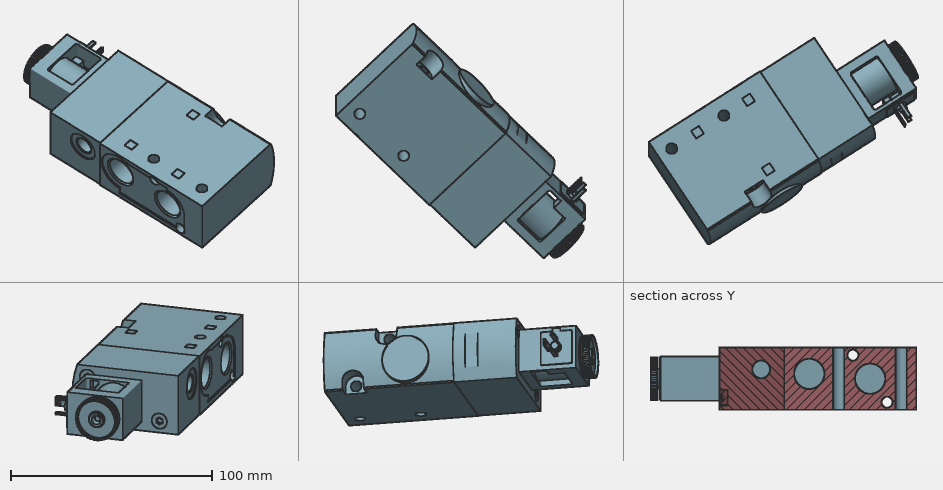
import cadquery as cq
import math


total_length = 132.2
thickness = 31.0
half_thickness = thickness / 2
pilot_start = 34.2
body_start = 66.2
coil_start = 5.2
knob_y = 31.8

body_crown_y = 56.4
body_edge_y = 54.0
bevel_depth = 0.8
bevel_height = 0.7
port_diameter = 14.9
port_mouth_diameter = 16.5
port_chamfer = (port_mouth_diameter - port_diameter) / 2
port_depth = 15.9
left_port_x = 78.9
left_port_z = 2.4
right_port_x = 109.2
right_port_z = 0.0
gasket_radius = 11.5
gasket_half_height = 12.88
gasket_depth = 0.8
mount_hole_diameter = 5.4
cross_bolt_holes = [(100.6, 11.7), (117.55, -11.7)]
bolt_recess_width = 10.8
bolt_recess_floor_y = 47.3
vertical_holes = [(93.5, 9.1), (124.5, 9.1)]
label_size = 4.6
label_depth = 0.1
label_places = [(left_port_x, 9.1), (right_port_x, 9.1), (90.0, 44.1)]
disc_diameter = 23.8
disc_x = 90.3
disc_z = -2.4
disc_top_y = 57.2
disc_root_y = 50.2

pilot_front_y = 0.4
pilot_crown_y = 56.2
pilot_edge_y = 53.5
pilot_flat_y = 55.4
pilot_flat_start = 53.7
pilot_flat_width = 6.5
pilot_port_x = 55.0
pilot_port_z = 4.6
pilot_spotface_diameter = 15.6
pilot_spotface_depth = 0.8
pilot_port_diameter = 8.7
pilot_port_mouth_diameter = 9.6
pilot_port_chamfer = (pilot_port_mouth_diameter - pilot_port_diameter) / 2
pilot_port_depth = 10.6

screw_places = [(10.3, -9.4), (48.1, 9.4)]
screw_head_diameter = 7.9
screw_bore_diameter = 8.0
screw_head_height = 4.0
torx_core_diameter = 3.0
torx_lobe_diameter = 0.9
torx_lobe_radius = 1.5
torx_lobes = 6
torx_depth = 1.6

coil_front_y = 19.5
coil_back_y = 48.8
coil_height = 22.1
coil_edge_radius = 0.4
window_start = 12.4
window_end = 28.7
window_front_y = 24.3
window_back_y = 46.9
window_corner_radius = 0.9
winding_diameter = 20.2
face_ring_diameter = 21.1
face_ring_thickness = 0.8
wall_pocket_depth = 4.1
wall_pocket_front_y = 40.3
wall_pocket_back_y = 44.7
wall_pocket_bottom = 5.2
wall_pocket_top = 10.0
winding_flange_diameter = 24.3
lower_ledge_end = 20.5
lower_ledge_y = 41.9
lower_ledge_top = -2.6
upper_ledge_end = 17.3
upper_ledge_y = 42.2
upper_ledge_top = 1.3
upper_ledge_bevel = 1.2

gasket_plate_start = 7.0
gasket_plate_length = 16.0
gasket_plate_height = 17.3
gasket_plate_thickness = 0.8
gasket_plate_corner = 0.8
gasket_tab_width = 4.0
gasket_tab_height = 1.6
socket_x = 15.0
socket_base_diameter = 5.3
socket_base_height = 1.7
socket_top_diameter = 4.0
socket_top_height = 3.3
blade_thickness = 0.9
contact_blade_width = 1.9
contact_blade_z = 4.2
contact_blade_end_y = 58.1
contact_blade_tip = 0.4
earth_blade_x = 18.83
earth_blade_width = 3.2
earth_blade_end_y = 59.9
earth_blade_tip = 0.7
earth_hole_diameter = 1.7
earth_hole_y = 57.7

knob_diameter = 21.5
knob_thickness = 3.5
knob_rear_chamfer = 0.3
knurl_grooves = 36
knurl_groove_diameter = 0.9
dish_diameter = 19.5
dish_depth = 1.5
knob_boss_diameter = 8.0
knob_boss_chamfer = 0.4
knob_hole_mouth_diameter = 4.8
knob_hole_floor_diameter = 3.0
knob_hole_depth = 2.6
knob_hub_diameter = 10.0


def box(x, y, z):
    """Box between the (low, high) limits on each axis."""
    size = [high - low for low, high in (x, y, z)]
    return cq.Workplane("XY").box(*size, centered=False).translate((x[0], y[0], z[0]))


def cylinder_x(diameter, x, y, z=0.0):
    """Cylinder along X between the (low, high) limits x."""
    return cq.Workplane("YZ", origin=(x[0], y, z)).circle(diameter / 2).extrude(x[1] - x[0])


def cylinder_y(diameter, x, y, z):
    """Cylinder along Y between the (low, high) limits y."""
    return cq.Workplane("XZ", origin=(x, y[0], z)).circle(diameter / 2).extrude(y[0] - y[1])


def cylinder_z(diameter, x, y, z):
    """Cylinder along Z between the (low, high) limits z."""
    return cq.Workplane("XY", origin=(x, y, z[0])).circle(diameter / 2).extrude(z[1] - z[0])


def chamfered_port(x, y, z, diameter, mouth_chamfer, depth):
    """Blind port going along +Y from a face at y, with a 45 degree mouth."""
    radius = diameter / 2
    profile = [
        (0, 0),
        (radius + mouth_chamfer, 0),
        (radius, mouth_chamfer),
        (radius, depth),
        (0, depth),
    ]
    cutter = cq.Workplane("XY").polyline(profile).close().revolve(360, (0, 0, 0), (0, 1, 0))
    return cutter.translate((x, y, z))



def body_blank():
    bevel_start_z = half_thickness - bevel_height
    profile = (
        cq.Workplane("YZ", origin=(body_start, 0, 0))
        .moveTo(0, -half_thickness)
        .lineTo(body_edge_y - bevel_depth, -half_thickness)
        .lineTo(body_edge_y, -bevel_start_z)
        .threePointArc((body_crown_y, 0), (body_edge_y, bevel_start_z))
        .lineTo(body_edge_y - bevel_depth, half_thickness)
        .lineTo(0, half_thickness)
        .close()
    )
    return profile.extrude(total_length - body_start)


def gasket_recess():
    """Recess around both large ports: a disc, a quarter disc and straight walls."""
    right_end = right_port_x + gasket_radius
    surround = cylinder_y(gasket_radius * 2, left_port_x, (0, gasket_depth), left_port_z)
    surround = surround.union(
        cylinder_y(gasket_radius * 2, right_port_x, (0, gasket_depth), right_port_z)
    )
    surround = surround.union(
        box((left_port_x, right_port_x), (0, gasket_depth), (-gasket_half_height, gasket_half_height))
    )
    return surround.union(
        box((right_port_x, right_end), (0, gasket_depth), (-gasket_half_height, right_port_z))
    )


def bolt_recess(x, z):
    """U-shaped recess at the back, round about the bolt and open to the nearer side."""
    y_limits = (bolt_recess_floor_y, body_crown_y)
    half_width = bolt_recess_width / 2
    open_side = math.copysign(half_thickness, z)
    slot = box((x - half_width, x + half_width), y_limits, sorted((z, open_side)))
    return slot.union(cylinder_y(bolt_recess_width, x, y_limits, z))


def label_pocket(x, y):
    half_size = label_size / 2
    return box(
        (x - half_size, x + half_size),
        (y - half_size, y + half_size),
        (half_thickness - label_depth, half_thickness),
    )


def make_valve_body():
    body = body_blank()
    body = body.union(cylinder_y(disc_diameter, disc_x, (disc_root_y, disc_top_y), disc_z))
    body = body.cut(gasket_recess())
    for x, z in [(left_port_x, left_port_z), (right_port_x, right_port_z)]:
        body = body.cut(chamfered_port(x, gasket_depth, z, port_diameter, port_chamfer, port_depth))
    for x, z in cross_bolt_holes:
        body = body.cut(bolt_recess(x, z))
        body = body.cut(cylinder_y(mount_hole_diameter, x, (0, body_crown_y), z))
    for x, y in vertical_holes:
        body = body.cut(cylinder_z(mount_hole_diameter, x, y, (-half_thickness, half_thickness)))
    for x, y in label_places:
        body = body.cut(label_pocket(x, y))
    return body



def make_pilot_block():
    block = (
        cq.Workplane("YZ", origin=(pilot_start, 0, 0))
        .moveTo(pilot_front_y, -half_thickness)
        .lineTo(pilot_edge_y, -half_thickness)
        .threePointArc((pilot_crown_y, 0), (pilot_edge_y, half_thickness))
        .lineTo(pilot_front_y, half_thickness)
        .close()
        .extrude(body_start - pilot_start)
    )
    block = block.cut(
        box(
            (pilot_flat_start, pilot_flat_start + pilot_flat_width),
            (pilot_flat_y, pilot_crown_y),
            (-half_thickness, half_thickness),
        )
    )
    spotface_y = pilot_front_y + pilot_spotface_depth
    block = block.cut(
        cylinder_y(pilot_spotface_diameter, pilot_port_x, (pilot_front_y, spotface_y), pilot_port_z)
    )
    block = block.cut(
        chamfered_port(
            pilot_port_x, spotface_y, pilot_port_z, pilot_port_diameter, pilot_port_chamfer, pilot_port_depth
        )
    )
    for y, z in screw_places:
        block = block.cut(
            cylinder_x(screw_bore_diameter, (pilot_start, pilot_start + screw_head_height), y, z)
        )
    return block



def make_screw(y, z):
    socket_limits = (pilot_start, pilot_start + torx_depth)
    screw = cylinder_x(screw_head_diameter, (pilot_start, pilot_start + screw_head_height), y, z)
    screw = screw.cut(cylinder_x(torx_core_diameter, socket_limits, y, z))
    for lobe in range(torx_lobes):
        angle = math.pi / 2 + lobe * 2 * math.pi / torx_lobes
        lobe_y = y + torx_lobe_radius * math.cos(angle)
        lobe_z = z + torx_lobe_radius * math.sin(angle)
        screw = screw.cut(cylinder_x(torx_lobe_diameter, socket_limits, lobe_y, lobe_z))
    return screw



def coil_frame():
    half_height = coil_height / 2
    frame = box((coil_start, pilot_start), (coil_front_y, coil_back_y), (-half_height, half_height))
    frame = frame.faces("<Y").edges("|X").fillet(coil_edge_radius)
    window = box((window_start, window_end), (window_front_y, window_back_y), (-half_height, half_height))
    window = window.edges("|Z").fillet(window_corner_radius)
    frame = frame.cut(window)
    frame = frame.union(cylinder_x(winding_diameter, (coil_start, pilot_start), knob_y))
    ring_limits = (coil_start - face_ring_thickness, coil_start)
    return frame.union(cylinder_x(face_ring_diameter, ring_limits, knob_y))


def wall_pocket():
    """Pocket in the far wall of the window, rounded off beside the winding flange."""
    x_limits = (window_end, window_end + wall_pocket_depth)
    pocket = box(
        x_limits, (wall_pocket_front_y, wall_pocket_back_y), (wall_pocket_bottom, wall_pocket_top)
    )
    return pocket.cut(cylinder_x(winding_flange_diameter, x_limits, knob_y))


def terminal_ledges():
    """Two steps in the back corner of the window that carry the terminals."""
    bottom = -coil_height / 2
    lower = box((coil_start, lower_ledge_end), (lower_ledge_y, coil_back_y), (bottom, lower_ledge_top))
    upper = box((coil_start, upper_ledge_end), (upper_ledge_y, coil_back_y), (bottom, upper_ledge_top))
    upper = upper.faces(">Z").edges("<Y").chamfer(upper_ledge_bevel)
    return lower.union(upper)


def gasket_plate():
    plate_center_x = gasket_plate_start + gasket_plate_length / 2
    half_height = gasket_plate_height / 2
    y_limits = (coil_back_y, coil_back_y + gasket_plate_thickness)
    plate = box(
        (gasket_plate_start, gasket_plate_start + gasket_plate_length), y_limits, (-half_height, half_height)
    )
    plate = plate.edges("|Y").fillet(gasket_plate_corner)
    tab = box(
        (plate_center_x - gasket_tab_width / 2, plate_center_x + gasket_tab_width / 2),
        y_limits,
        (0, half_height + gasket_tab_height),
    )
    return plate.union(tab)


def contact_blade(z_side):
    """Flat blade in the XY plane, its outer tip edge bevelled."""
    center_z = z_side * contact_blade_z
    blade = box(
        (socket_x - contact_blade_width / 2, socket_x + contact_blade_width / 2),
        (coil_back_y, contact_blade_end_y),
        (center_z - blade_thickness / 2, center_z + blade_thickness / 2),
    )
    outer_face = ">Z" if z_side > 0 else "<Z"
    return blade.faces(outer_face).edges(">Y").chamfer(contact_blade_tip)


def earth_blade():
    """Flat blade in the YZ plane with a bevelled tip and a cross hole."""
    x_limits = (earth_blade_x - blade_thickness / 2, earth_blade_x + blade_thickness / 2)
    half_width = earth_blade_width / 2
    blade = box(x_limits, (coil_back_y, earth_blade_end_y), (-half_width, half_width))
    blade = blade.faces("<X").edges(">Y").chamfer(earth_blade_tip)
    return blade.cut(cylinder_x(earth_hole_diameter, x_limits, earth_hole_y))


def make_coil():
    plate_top = coil_back_y + gasket_plate_thickness
    coil = coil_frame().cut(wall_pocket()).union(terminal_ledges()).union(gasket_plate())
    for diameter, height in [
        (socket_base_diameter, socket_base_height),
        (socket_top_diameter, socket_top_height),
    ]:
        coil = coil.union(cylinder_y(diameter, socket_x, (coil_back_y, plate_top + height), 0))
    for z_side in (1, -1):
        coil = coil.union(contact_blade(z_side))
    return coil.union(earth_blade())



def make_knob():
    knob = cylinder_x(knob_diameter, (0, knob_thickness), knob_y).faces(">X").chamfer(knob_rear_chamfer)
    dish = cylinder_x(dish_diameter, (0, dish_depth), knob_y)
    boss = cylinder_x(knob_boss_diameter, (0, dish_depth), knob_y).faces("<X").chamfer(knob_boss_chamfer)
    knob = knob.cut(dish.cut(boss))
    grooves = (
        cq.Workplane("YZ", origin=(0, knob_y, 0))
        .polarArray(knob_diameter / 2, 0, 360, knurl_grooves)
        .circle(knurl_groove_diameter / 2)
        .extrude(knob_thickness)
    )
    knob = knob.cut(grooves)
    hub_end = coil_start - face_ring_thickness
    knob = knob.union(cylinder_x(knob_hub_diameter, (knob_thickness, hub_end), knob_y))
    hole = cq.Solid.makeCone(
        knob_hole_mouth_diameter / 2,
        knob_hole_floor_diameter / 2,
        knob_hole_depth,
        cq.Vector(0, knob_y, 0),
        cq.Vector(1, 0, 0),
    )
    return knob.cut(cq.Workplane(hole))


valve_body = make_valve_body()
pilot_block = make_pilot_block()
screws = [make_screw(y, z) for y, z in screw_places]
coil = make_coil()
knob = make_knob()

result = cq.Compound.makeCompound(
    [
        valve_body.val(),
        pilot_block.val(),
        *[screw.val() for screw in screws],
        coil.val(),
        knob.val(),
    ]
)